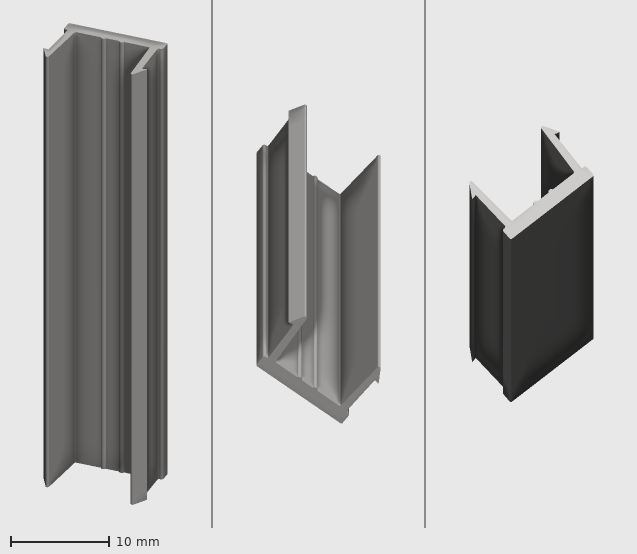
import cadquery as cq

LENGTH = 50.0
OVERALL_WIDTH = 11.5
OVERALL_DEPTH = 7.5

PLATE_WIDTH = 11.0
PLATE_THICKNESS = 1.5
RIM_THICKNESS = 1.38
RIM_RADIUS = 0.25
BACK_EDGE_RADIUS = 0.15

LEG_OUTER_AT_ROOT = 5.0
LEG_OUTER_AT_BARB = 5.2
LEG_INNER_AT_ROOT = 4.15
LEG_INNER_AT_TIP = 4.55
INNER_ROOT_FILLET = 0.15
OUTER_ROOT_FILLET = 0.15

BARB_POINT_DEPTH = 5.9
BARB_POINT_WIDTH = 0.1
BARB_NOTCH_DEPTH = 6.0
TIP_WIDTH = 0.28
TIP_RADIUS = 0.18

RIB_SPACING = 2.0
RIB_RADIUS = 0.3
RIB_HEIGHT = 0.2


def plate():
    """Rim-thick plate with rounded edges, thickened between the legs."""
    slab = cq.Workplane("XY").rect(PLATE_WIDTH, RIM_THICKNESS).extrude(LENGTH)
    slab = slab.translate((0, -RIM_THICKNESS / 2, 0))
    slab = slab.edges("|Z and <Y").fillet(RIM_RADIUS)
    slab = slab.edges("|Z and >Y").fillet(BACK_EDGE_RADIUS)
    inner_band = (
        cq.Workplane("XY")
        .center(0, -PLATE_THICKNESS / 2)
        .rect(2 * LEG_INNER_AT_ROOT, PLATE_THICKNESS)
        .extrude(LENGTH)
    )
    return slab.union(inner_band)


def leg():
    """Leg on the +X side, leaning outwards and ending in a barb."""
    barb_point = OVERALL_WIDTH / 2
    outline = [
        (LEG_INNER_AT_ROOT, -RIM_THICKNESS),
        (LEG_INNER_AT_ROOT, -PLATE_THICKNESS),
        (LEG_INNER_AT_TIP, -OVERALL_DEPTH),
        (LEG_INNER_AT_TIP + TIP_WIDTH, -OVERALL_DEPTH),
        (barb_point, -BARB_POINT_DEPTH),
        (barb_point - BARB_POINT_WIDTH, -BARB_POINT_DEPTH),
        (LEG_OUTER_AT_BARB, -BARB_NOTCH_DEPTH),
        (LEG_OUTER_AT_ROOT, -RIM_THICKNESS),
    ]
    body = cq.Workplane("XY").polyline(outline).close().extrude(LENGTH)
    return body.edges("|Z and <Y").fillet(TIP_RADIUS)


def ribs():
    """Two shallow round beads on the underside of the plate."""
    centre_y = -PLATE_THICKNESS - RIB_HEIGHT + RIB_RADIUS
    centres = [(side * RIB_SPACING / 2, centre_y) for side in (-1, 1)]
    return cq.Workplane("XY").pushPoints(centres).circle(RIB_RADIUS).extrude(LENGTH)


def fillet_edge_pair(body, x, y, radius):
    """Fillet the Z-parallel edges at (x, y) and at its mirror image (-x, y)."""
    for side in (-1, 1):
        on_edge = (side * x, y, LENGTH / 2)
        body = body.edges(cq.selectors.NearestToPointSelector(on_edge)).fillet(radius)
    return body


right_leg = leg()
left_leg = right_leg.mirror("YZ")
channel = plate().union(right_leg).union(left_leg)
channel = fillet_edge_pair(channel, LEG_INNER_AT_ROOT, -PLATE_THICKNESS, INNER_ROOT_FILLET)
channel = fillet_edge_pair(channel, LEG_OUTER_AT_ROOT, -RIM_THICKNESS, OUTER_ROOT_FILLET)
result = channel.union(ribs())